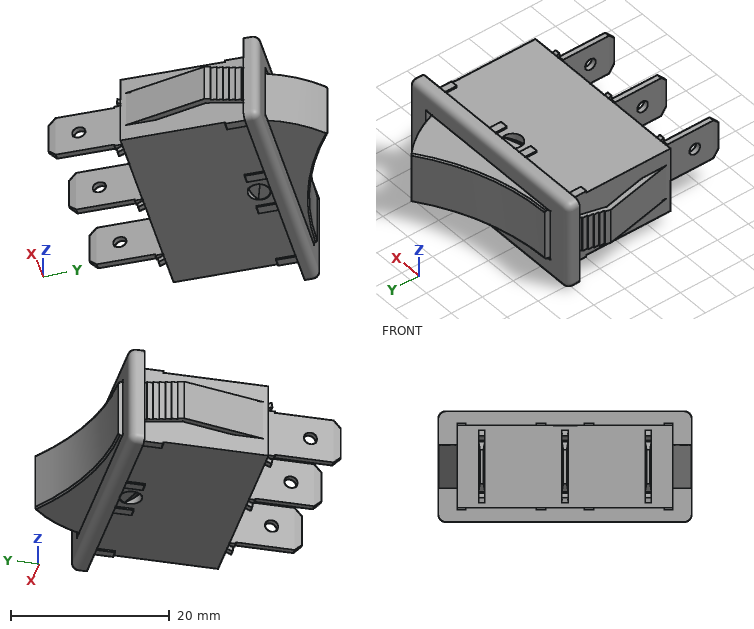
import cadquery as cq
import math


BEZEL_LENGTH = 32.0
BEZEL_WIDTH = 14.0
BEZEL_THICKNESS = 2.0
BEZEL_RADIUS = 1.0

BOX_LENGTH = 27.2
BOX_WIDTH = 10.4
BOX_DEPTH = 16.6

INNER_RIB_WIDTH = 1.2
OUTER_RIB_WIDTH = 1.1
RIB_DEPTH = 3.0
RIB_HEIGHT = 0.25
INNER_RIB_X = 3.0
OUTER_RIB_X = (BOX_LENGTH - OUTER_RIB_WIDTH) / 2

CAVITY_LENGTH = 25.0
CAVITY_WIDTH = 8.1
CAVITY_FLOOR_Y = -7.0

PIVOT_Y = -2.0
PIVOT_HOLE_DIAMETER = 2.9
PIVOT_PIN_DIAMETER = 2.8
PIVOT_PIN_RECESS = 0.05
PIVOT_BEVEL_DEPTH = 1.05

CLIP_WIDTH = 5.5
CLIP_TOP_X = 14.5
CLIP_STEP_COUNT = 6
CLIP_STEP_PITCH = 0.75
CLIP_STEP_HEIGHT = 0.2
CLIP_FIRST_STEP = 0.6
CLIP_BEND_DEPTH = CLIP_FIRST_STEP + CLIP_STEP_COUNT * CLIP_STEP_PITCH
CLIP_BEND_X = 15.9
CLIP_INNER_TOP_X = 13.85
CLIP_INNER_BEND_X = 15.1
CLIP_INNER_END_DEPTH = 12.0
CLIP_END_DEPTH = 15.9
CLIP_ROOT = 0.5

TERMINAL_PITCH = 10.5
TERMINAL_THICKNESS = 0.8
TERMINAL_LENGTH = 10.1
BLADE_WIDTH = 6.3
BLADE_TIP_CHAMFER = 1.0
BLADE_TIP_THICKNESS = 0.42
BLADE_HOLE_DIAMETER = 1.7
BLADE_HOLE_FROM_TIP = 4.0
SHOULDER_WIDTH = 6.7
SHOULDER_LENGTH = 1.5
ROOT_WIDTH = 8.3
ROOT_LENGTH = 0.3
HOOK_OUTER_TIP = (1.07, 4.58)
HOOK_INNER_TIP = (1.18, 3.92)
HOOK_INNER_MIDDLE = (0.65, 3.7)

ROCKER_TILT = 18.0
ROCKER_WIDTH = 8.0
ROCKER_TOP_RADIUS = 32.5
ROCKER_TOP_HALF_ANGLE = 18.0
ROCKER_TOP_HEIGHT = 6.4
ROCKER_HALF_LENGTH = 12.05
ROCKER_BELLY_DEPTH = 2.2
ROCKER_EDGE_CHAMFER = 0.22


def extrude_centred(sketch, thickness):
    """Extrude a closed outline to equal depths on both sides of its plane."""
    half_offset = sketch.plane.zDir * (-thickness / 2)
    return sketch.extrude(thickness).translate(half_offset)


def make_bezel():
    blank = cq.Workplane("XY").box(
        BEZEL_LENGTH, BEZEL_THICKNESS, BEZEL_WIDTH, centered=(True, False, True)
    )
    return blank.edges("|Y or >Y").fillet(BEZEL_RADIUS)


def make_box():
    return cq.Workplane("XY").box(BOX_LENGTH, BOX_DEPTH, BOX_WIDTH).translate((0, -BOX_DEPTH / 2, 0))


def make_rib_pair(distance, width):
    """Two ribs at X = +-distance that run right through the box and stand proud of both broad faces."""
    rib = cq.Workplane("XY").box(width, RIB_DEPTH, BOX_WIDTH + 2 * RIB_HEIGHT)
    rib = rib.translate((distance, -RIB_DEPTH / 2, 0))
    return rib.union(rib.mirror("YZ"))


def make_clip():
    """Spring clip on the +X end, with finger steps down to the bend."""
    wall_x = BOX_LENGTH / 2
    profile = cq.Workplane("XY").moveTo(CLIP_INNER_TOP_X, 0).lineTo(CLIP_TOP_X, 0)
    for step in range(CLIP_STEP_COUNT):
        step_x = CLIP_TOP_X + step * CLIP_STEP_HEIGHT
        step_y = -CLIP_FIRST_STEP - step * CLIP_STEP_PITCH
        profile = profile.lineTo(step_x, step_y).lineTo(step_x + CLIP_STEP_HEIGHT, step_y)
    profile = (
        profile.lineTo(CLIP_BEND_X, -CLIP_BEND_DEPTH)
        .lineTo(wall_x, -CLIP_END_DEPTH)
        .lineTo(wall_x - CLIP_ROOT, -CLIP_END_DEPTH)
        .lineTo(wall_x - CLIP_ROOT, -CLIP_INNER_END_DEPTH)
        .lineTo(wall_x, -CLIP_INNER_END_DEPTH)
        .lineTo(CLIP_INNER_BEND_X, -CLIP_BEND_DEPTH)
        .close()
    )
    return extrude_centred(profile, CLIP_WIDTH)


def make_hook():
    """Tab bent outwards on the +Z side of a terminal, in (distance from the box, Z)."""
    slot_end = (ROOT_LENGTH, SHOULDER_WIDTH / 2)
    profile = (
        cq.Workplane("YZ")
        .moveTo(0, SHOULDER_WIDTH / 2)
        .lineTo(0, ROOT_WIDTH / 2)
        .lineTo(-HOOK_OUTER_TIP[0], HOOK_OUTER_TIP[1])
        .lineTo(-HOOK_INNER_TIP[0], HOOK_INNER_TIP[1])
        .threePointArc((-HOOK_INNER_MIDDLE[0], HOOK_INNER_MIDDLE[1]), (-slot_end[0], slot_end[1]))
        .close()
    )
    return extrude_centred(profile, TERMINAL_THICKNESS)


def make_terminal():
    """Terminal at X = 0, with its root on the plane Y = 0."""
    half_blade = BLADE_WIDTH / 2
    taper_start = BLADE_TIP_CHAMFER - TERMINAL_LENGTH
    side_outline = (
        cq.Workplane("YZ")
        .moveTo(0, half_blade)
        .lineTo(taper_start, half_blade)
        .lineTo(-TERMINAL_LENGTH, half_blade - BLADE_TIP_CHAMFER)
        .lineTo(-TERMINAL_LENGTH, BLADE_TIP_CHAMFER - half_blade)
        .lineTo(taper_start, -half_blade)
        .lineTo(0, -half_blade)
        .close()
    )
    edge_outline = (
        cq.Workplane("XY")
        .moveTo(TERMINAL_THICKNESS / 2, 0)
        .lineTo(TERMINAL_THICKNESS / 2, taper_start)
        .lineTo(BLADE_TIP_THICKNESS / 2, -TERMINAL_LENGTH)
        .lineTo(-BLADE_TIP_THICKNESS / 2, -TERMINAL_LENGTH)
        .lineTo(-TERMINAL_THICKNESS / 2, taper_start)
        .lineTo(-TERMINAL_THICKNESS / 2, 0)
        .close()
    )
    blade = extrude_centred(side_outline, TERMINAL_THICKNESS)
    blade = blade.intersect(extrude_centred(edge_outline, BLADE_WIDTH))
    hole_y = BLADE_HOLE_FROM_TIP - TERMINAL_LENGTH
    hole_outline = cq.Workplane("YZ").center(hole_y, 0).circle(BLADE_HOLE_DIAMETER / 2)
    blade = blade.cut(extrude_centred(hole_outline, TERMINAL_THICKNESS))
    shoulder = (
        cq.Workplane("XY")
        .box(TERMINAL_THICKNESS, SHOULDER_LENGTH, SHOULDER_WIDTH)
        .translate((0, -SHOULDER_LENGTH / 2, 0))
    )
    hook = make_hook()
    return blade.union(shoulder).union(hook).union(hook.mirror("XY"))


def make_cavity():
    depth = BEZEL_THICKNESS - CAVITY_FLOOR_Y
    return (
        cq.Workplane("XY")
        .box(CAVITY_LENGTH, depth, CAVITY_WIDTH)
        .translate((0, CAVITY_FLOOR_Y + depth / 2, 0))
    )


def make_pivot_hole():
    outline = cq.Workplane("XY").center(0, PIVOT_Y).circle(PIVOT_HOLE_DIAMETER / 2)
    return extrude_centred(outline, BOX_WIDTH)


def make_housing():
    clip = make_clip()
    housing = make_bezel().union(make_box())
    housing = housing.union(make_rib_pair(INNER_RIB_X, INNER_RIB_WIDTH))
    housing = housing.union(make_rib_pair(OUTER_RIB_X, OUTER_RIB_WIDTH))
    housing = housing.union(clip).union(clip.mirror("YZ"))
    terminal = make_terminal()
    for position in (-1, 0, 1):
        housing = housing.union(terminal.translate((position * TERMINAL_PITCH, -BOX_DEPTH, 0)))
    return housing.cut(make_cavity()).cut(make_pivot_hole())


def make_rocker_body():
    """Paddle with a concave top, bulging ends and a rounded belly, level about the origin."""
    half_angle = math.radians(ROCKER_TOP_HALF_ANGLE)
    tip_x = ROCKER_TOP_RADIUS * math.sin(half_angle)
    tip_y = ROCKER_TOP_HEIGHT + ROCKER_TOP_RADIUS * (1 - math.cos(half_angle))
    overhang = ROCKER_HALF_LENGTH - tip_x
    end_radius = (tip_y**2 + overhang**2) / (2 * overhang)
    end_angle = math.asin(tip_y / end_radius) / 2
    end_x = ROCKER_HALF_LENGTH - end_radius * (1 - math.cos(end_angle))
    end_y = end_radius * math.sin(end_angle)
    outline = (
        cq.Workplane("XY")
        .moveTo(-tip_x, tip_y)
        .threePointArc((0, ROCKER_TOP_HEIGHT), (tip_x, tip_y))
        .threePointArc((end_x, end_y), (ROCKER_HALF_LENGTH, 0))
        .threePointArc((0, -ROCKER_BELLY_DEPTH), (-ROCKER_HALF_LENGTH, 0))
        .threePointArc((-end_x, end_y), (-tip_x, tip_y))
        .close()
    )
    body = extrude_centred(outline, ROCKER_WIDTH)
    top_point = (0, ROCKER_TOP_HEIGHT, 0)
    top_face = body.faces(cq.selectors.NearestToPointSelector(top_point))
    return top_face.edges("<Z or >Z").chamfer(ROCKER_EDGE_CHAMFER)


def make_pivot_pin():
    """Stub pin on the +Z side of the rocker, just below the box face; half of its end is bevelled."""
    pin_radius = PIVOT_PIN_DIAMETER / 2
    end_z = BOX_WIDTH / 2 - PIVOT_PIN_RECESS
    side_z = ROCKER_WIDTH / 2
    pin = cq.Workplane("XY").workplane(offset=side_z).circle(pin_radius).extrude(end_z - side_z)
    bevel_outline = (
        cq.Workplane("YZ")
        .moveTo(0, end_z)
        .lineTo(-pin_radius, end_z)
        .lineTo(-pin_radius, end_z - PIVOT_BEVEL_DEPTH)
        .close()
    )
    return pin.cut(extrude_centred(bevel_outline, PIVOT_PIN_DIAMETER))


def make_rocker():
    pin = make_pivot_pin()
    rocker = make_rocker_body().union(pin).union(pin.mirror("XY"))
    return rocker.rotate((0, 0, 0), (0, 0, 1), ROCKER_TILT).translate((0, PIVOT_Y, 0))


housing = make_housing()
rocker = make_rocker()

result = cq.Compound.makeCompound([housing.val(), rocker.val()])